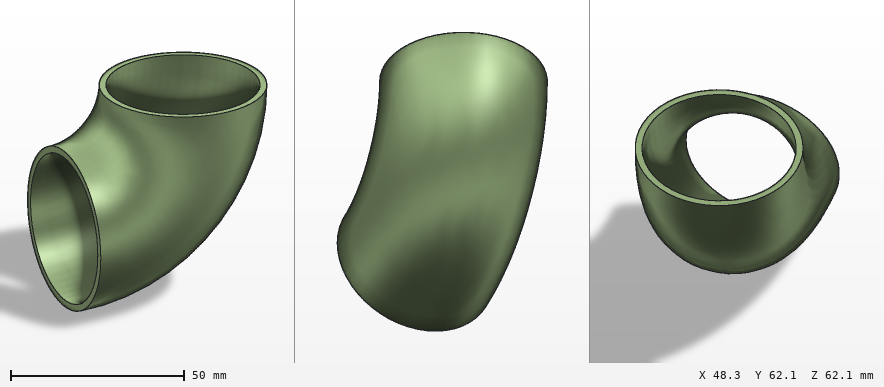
import cadquery as cq

OUTER_DIAMETER = 48.3
WALL_THICKNESS = 2.0
BEND_RADIUS = 38.0
BEND_ANGLE = 90.0

outer_radius = OUTER_DIAMETER / 2
inner_radius = outer_radius - WALL_THICKNESS


def make_elbow():
    """Sweep the pipe's ring section about the X axis.

    The sweep runs from the open end facing -Y (at Y = 0)
    to the open end facing +Z (at Z = 0).
    """
    ring_section = (
        cq.Workplane("XZ")
        .center(0, -BEND_RADIUS)
        .circle(outer_radius)
        .circle(inner_radius)
    )
    axis_start = (0, BEND_RADIUS)
    axis_end = (1, BEND_RADIUS)
    return ring_section.revolve(BEND_ANGLE, axis_start, axis_end)


result = make_elbow()